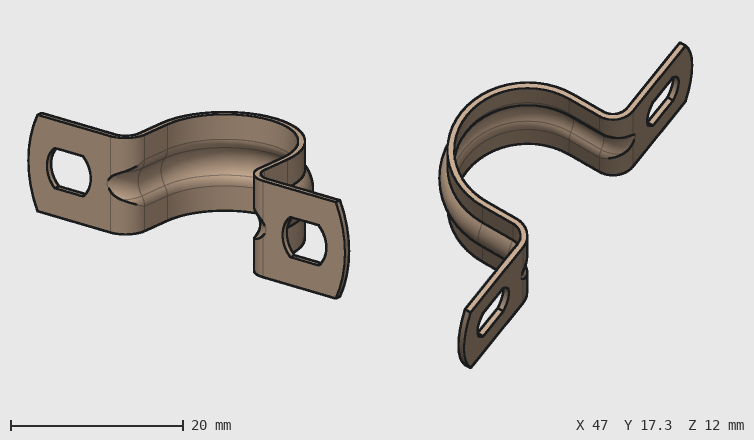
import cadquery as cq
import math

length = 47.0
width = 12.0
thickness = 0.8
arch_inner_radius = 8.5
arch_centre_y = 7.05
bend_outer_radius = 2.8
end_corner_x = 22.15

bead_height = 0.95
bead_width = 4.95
groove_edge_radius = 2.0
bead_bend_radius = 2.05

hole_spacing = 34.95
hole_diameter = 6.5
hole_height = 5.0

arch_outer_radius = arch_inner_radius + thickness
bend_inner_radius = bend_outer_radius - thickness
bend_centre_x = arch_inner_radius + bend_outer_radius
bead_bend_x = arch_outer_radius + bead_height + bead_bend_radius

half_bead = bead_width / 2
crest_radius = (half_bead**2 + bead_height**2) / (2 * bead_height)
crest_centre = arch_outer_radius + bead_height - crest_radius
groove_radius = crest_radius - thickness


def under_outline(arch_radius, bend_radius, flange_y, bottom_y):
    """Closed area under one face of the strip, down to bottom_y."""
    half = length / 2
    leg_bottom = flange_y + bend_radius
    diagonal = bend_radius * math.sqrt(0.5)
    bend_mid_x = bend_centre_x - diagonal
    bend_mid_y = leg_bottom - diagonal
    return (
        cq.Workplane("XY")
        .moveTo(-half, bottom_y)
        .lineTo(-half, flange_y)
        .lineTo(-bend_centre_x, flange_y)
        .threePointArc((-bend_mid_x, bend_mid_y), (-arch_radius, leg_bottom))
        .lineTo(-arch_radius, arch_centre_y)
        .threePointArc((0, arch_centre_y + arch_radius), (arch_radius, arch_centre_y))
        .lineTo(arch_radius, leg_bottom)
        .threePointArc((bend_mid_x, bend_mid_y), (bend_centre_x, flange_y))
        .lineTo(half, flange_y)
        .lineTo(half, bottom_y)
        .close()
        .extrude(width / 2, both=True)
    )


def bead_profile(plane):
    """Bead section; local x is the distance from the arch centre."""
    root = arch_outer_radius - thickness / 2
    return (
        plane.moveTo(root, -half_bead)
        .lineTo(arch_outer_radius, -half_bead)
        .threePointArc((arch_outer_radius + bead_height, 0), (arch_outer_radius, half_bead))
        .lineTo(root, half_bead)
        .close()
    )


def groove_profile(plane):
    """Groove section with rounded lips tangent to the strip and to the crest."""
    lip_x = arch_inner_radius + groove_edge_radius
    reach = groove_radius + groove_edge_radius
    lip_z = math.sqrt(reach**2 - (lip_x - crest_centre) ** 2)
    share = groove_radius / reach
    tangent_x = crest_centre + (lip_x - crest_centre) * share
    tangent_z = lip_z * share
    end_angle = math.atan2(lip_z, lip_x - crest_centre)
    lip_x_mid = lip_x - groove_edge_radius * math.cos(end_angle / 2)
    lip_z_mid = lip_z - groove_edge_radius * math.sin(end_angle / 2)
    return (
        plane.moveTo(arch_inner_radius, -lip_z)
        .threePointArc((lip_x_mid, -lip_z_mid), (tangent_x, -tangent_z))
        .threePointArc((crest_centre + groove_radius, 0), (tangent_x, tangent_z))
        .threePointArc((lip_x_mid, lip_z_mid), (arch_inner_radius, lip_z))
        .close()
    )


def along_arch(profile):
    """Carry a section over the arch, down both legs and round both bends."""
    arch_plane = cq.Workplane("XZ", origin=(0, arch_centre_y, 0))
    body = profile(arch_plane).revolve(180, (0, 0, 0), (0, 1, 0))
    leg_plane = cq.Workplane("XZ", origin=(0, arch_centre_y, 0))
    leg = profile(leg_plane).extrude(arch_centre_y - bend_outer_radius)
    bend_plane = cq.Workplane("XZ", origin=(0, bend_outer_radius, 0))
    bend = profile(bend_plane).revolve(90, (bead_bend_x, 0, 0), (bead_bend_x, 1, 0))
    side = leg.union(bend)
    return body.union(side).union(side.mirror("YZ"))


def end_shape():
    """Rounded-end plate outline that trims the two flange ends."""
    half = length / 2
    return (
        cq.Workplane("XZ")
        .moveTo(-end_corner_x, -width / 2)
        .lineTo(end_corner_x, -width / 2)
        .threePointArc((half, 0), (end_corner_x, width / 2))
        .lineTo(-end_corner_x, width / 2)
        .threePointArc((-half, 0), (-end_corner_x, -width / 2))
        .close()
        .extrude(length, both=True)
    )


def mounting_holes():
    """Flat-sided round holes through both flanges."""
    centres = [(-hole_spacing / 2, 0), (hole_spacing / 2, 0)]
    cutters = cq.Workplane("XZ").pushPoints(centres).circle(hole_diameter / 2).extrude(thickness * 2, both=True)
    return cutters.intersect(cq.Workplane("XY").box(length, length, hole_height))


underside = under_outline(arch_inner_radius, bend_outer_radius, 0, -bend_outer_radius)
strip = under_outline(arch_outer_radius, bend_inner_radius, thickness, -bend_outer_radius).cut(underside)
bead = along_arch(bead_profile).cut(underside)
groove = along_arch(groove_profile)

result = strip.union(bead).cut(groove).intersect(end_shape()).cut(mounting_holes())